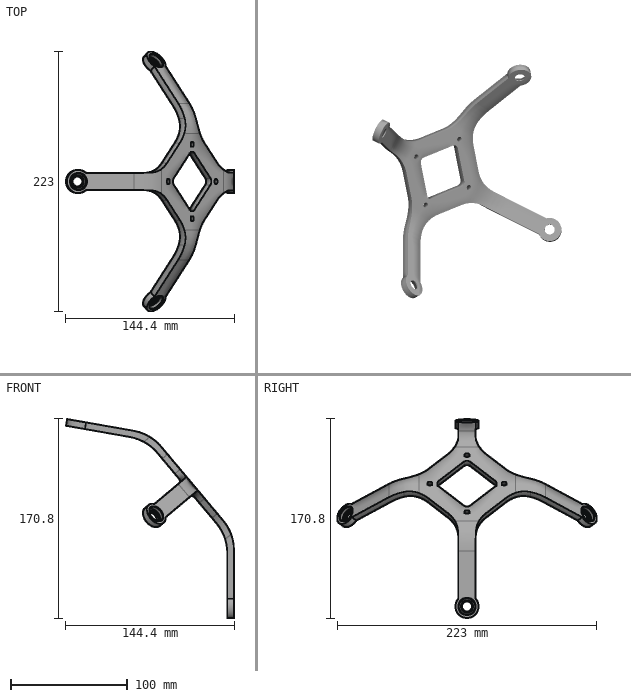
import cadquery as cq
import math

THICKNESS = 6.0
PLATE_TILT = 50.0
BEND_ANGLE = 40.0
BEND_RADIUS = 40.0
BEND_VERTEX = 53.8
ARM_LENGTH = 60.28
ARM_WIDTH = 15.0
ARM_COUNT = 4

PLATE_SIDE = 70.0
ARM_FILLET = 30.0
WINDOW_SIDE = 38.5
WINDOW_FILLET = 4.0
MOUNT_HOLE_DIAMETER = 4.4
MOUNT_HOLE_PITCH = 45.0

BOSS_DIAMETER = 20.0
SEAT_DIAMETER = 14.0
SEAT_DEPTH = 4.0
SEAT_CHAMFER = 0.5
BORE_DIAMETER = 8.5
BORE_CHAMFER = 1.0

FULL_TURN = 360.0
DIAMOND_TURN = 45.0

BEND = math.radians(BEND_ANGLE)
BEND_SETBACK = BEND_RADIUS * math.tan(BEND / 2)
UPPER_VERTEX = BEND_VERTEX + THICKNESS * math.tan(BEND / 2)
BOSS_X = BEND_VERTEX + ARM_LENGTH * math.cos(BEND)
BOSS_Z = -ARM_LENGTH * math.sin(BEND)
MOUNT_HOLE_OFFSET = MOUNT_HOLE_PITCH / math.sqrt(2)
FLAT_SIDE = 2 * (BEND_VERTEX - BEND_SETBACK)
STRIP_WIDTH = 2 * ARM_WIDTH
TRIM_HEIGHT = 2 * (abs(BOSS_Z) + BOSS_DIAMETER)
TRIM_LENGTH = 2 * (BOSS_X + BOSS_DIAMETER)


def along_arm(vertex_x, vertex_z, distance):
    """Point at a distance beyond a bend corner, down the sloping arm."""
    return (vertex_x + distance * math.cos(BEND), vertex_z - distance * math.sin(BEND))


def bend_arc_points(vertex_x, vertex_z):
    """Start, middle and end of the rounded bend that replaces a sharp corner."""
    start = (vertex_x - BEND_SETBACK, vertex_z)
    middle = (
        start[0] + BEND_RADIUS * math.sin(BEND / 2),
        vertex_z - BEND_RADIUS * (1 - math.cos(BEND / 2)),
    )
    return start, middle, along_arm(vertex_x, vertex_z, BEND_SETBACK)


def bent_strip():
    """Bent sheet from the plate centre to the boss axis of the +X arm."""
    upper_start, upper_middle, upper_end = bend_arc_points(UPPER_VERTEX, THICKNESS)
    lower_start, lower_middle, lower_end = bend_arc_points(BEND_VERTEX, 0)
    lower_tip = along_arm(BEND_VERTEX, 0, ARM_LENGTH)
    upper_tip = (
        lower_tip[0] + THICKNESS * math.sin(BEND),
        lower_tip[1] + THICKNESS * math.cos(BEND),
    )
    return (
        cq.Workplane("XZ")
        .moveTo(0, THICKNESS)
        .lineTo(*upper_start)
        .threePointArc(upper_middle, upper_end)
        .lineTo(*upper_tip)
        .lineTo(*lower_tip)
        .lineTo(*lower_end)
        .threePointArc(lower_middle, lower_start)
        .lineTo(0, 0)
        .close()
        .extrude(STRIP_WIDTH / 2, both=True)
    )


def plan_outline():
    """Tall prism of the diamond and cross, with the inside corners rounded."""
    diamond = cq.Workplane("XY").rect(PLATE_SIDE, PLATE_SIDE).extrude(TRIM_HEIGHT / 2, both=True)
    diamond = diamond.rotate((0, 0, 0), (0, 0, 1), DIAMOND_TURN)
    arm_x = cq.Workplane("XY").box(TRIM_LENGTH, ARM_WIDTH, TRIM_HEIGHT)
    arm_y = cq.Workplane("XY").box(ARM_WIDTH, TRIM_LENGTH, TRIM_HEIGHT)
    diamond_reach = PLATE_SIDE / math.sqrt(2)
    inside_corners = cq.selectors.BoxSelector(
        (-diamond_reach, -diamond_reach, -TRIM_HEIGHT), (diamond_reach, diamond_reach, TRIM_HEIGHT)
    )
    cross = diamond.union(arm_x).union(arm_y)
    return cross.edges("|Z").edges(inside_corners).fillet(ARM_FILLET)


def boss_plane():
    """Plane on the lower face of the +X arm, centred on the boss axis."""
    return cq.Plane(
        origin=(BOSS_X, 0, BOSS_Z),
        xDir=(math.cos(BEND), 0, -math.sin(BEND)),
        normal=(math.sin(BEND), 0, math.cos(BEND)),
    )


def seat_and_bore():
    """Cutter for the +X boss: chamfered seat from above and chamfered through bore."""
    seat_radius = SEAT_DIAMETER / 2
    bore_radius = BORE_DIAMETER / 2
    floor = THICKNESS - SEAT_DEPTH
    section = [
        (0, 0),
        (bore_radius, 0),
        (bore_radius, floor - BORE_CHAMFER),
        (bore_radius + BORE_CHAMFER, floor),
        (seat_radius, floor),
        (seat_radius, THICKNESS - SEAT_CHAMFER),
        (seat_radius + SEAT_CHAMFER, THICKNESS),
        (0, THICKNESS),
    ]
    cutter = cq.Workplane("XZ").polyline(section).close().revolve(FULL_TURN, (0, 0, 0), (0, 1, 0))
    return cq.Workplane("XY").newObject([cutter.val().moved(boss_plane().location)])


def at_each_arm(shape):
    """One copy of a +X arm shape for every arm."""
    step = FULL_TURN / ARM_COUNT
    return [shape.rotate((0, 0, 0), (0, 0, 1), i * step) for i in range(ARM_COUNT)]


def sheet_body():
    """Plate and four bent arms, trimmed to the plan outline."""
    body = cq.Workplane("XY").rect(FLAT_SIDE, FLAT_SIDE).extrude(THICKNESS)
    for strip in at_each_arm(bent_strip()):
        body = body.union(strip)
    return body.intersect(plan_outline())


def add_bosses(body):
    """Round end on each arm with a seat in the upper face and a through bore."""
    boss = cq.Workplane(boss_plane()).circle(BOSS_DIAMETER / 2).extrude(THICKNESS)
    for arm_boss in at_each_arm(boss):
        body = body.union(arm_boss)
    for cutter in at_each_arm(seat_and_bore()):
        body = body.cut(cutter)
    return body


def cut_plate_openings(body):
    """Diamond window in the plate and a mounting hole at the root of each arm."""
    window = cq.Workplane("XY").rect(WINDOW_SIDE, WINDOW_SIDE).extrude(THICKNESS)
    window = window.edges("|Z").fillet(WINDOW_FILLET)
    body = body.cut(window.rotate((0, 0, 0), (0, 0, 1), DIAMOND_TURN))
    holes = (
        cq.Workplane("XY")
        .polarArray(MOUNT_HOLE_OFFSET, 0, FULL_TURN, ARM_COUNT)
        .circle(MOUNT_HOLE_DIAMETER / 2)
        .extrude(THICKNESS)
    )
    return body.cut(holes)


flat_part = cut_plate_openings(add_bosses(sheet_body()))
result = flat_part.rotate((0, 0, 0), (0, 1, 0), PLATE_TILT)